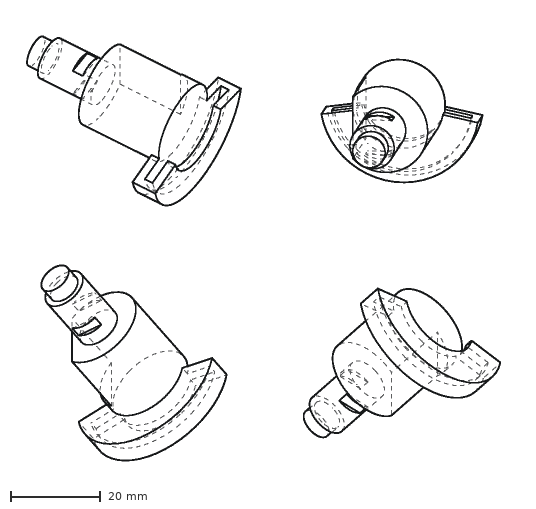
import cadquery as cq
import math

tip_radius = 3.65
tip_length = 4.4
dome_height = 0.7
shaft_radius = 5.0
shaft_length = 14.0
body_radius = 10.0
overall_length = 43.6

notch_width = 2.6
notch_to_body = 3.4
notch_floor = 4.0

body_flat_offset = 7.0
shoulder_length = 5.2

plate_thickness = 2.0
sector_radius = 18.0
groove_radius = 16.0
lip_inner_radius = 9.5
edge_drop = math.radians(10)

shaft_start = tip_length
body_start = shaft_start + shaft_length
lip_start = overall_length - plate_thickness
body_end = lip_start - plate_thickness
plate_start = body_end - plate_thickness


def cylinder(start, end, radius):
    return cq.Workplane("YZ", origin=(start, 0, 0)).circle(radius).extrude(end - start)


def sector_point(radius, side):
    """Point (Y, Z) on the sloping sector edge at the given side."""
    return side * radius * math.cos(edge_drop), -radius * math.sin(edge_drop)


def sector(start, end, inner_radius):
    """Downward annular sector between two X positions."""
    return (
        cq.Workplane("YZ", origin=(start, 0, 0))
        .moveTo(*sector_point(inner_radius, 1))
        .lineTo(*sector_point(sector_radius, 1))
        .threePointArc((0, -sector_radius), sector_point(sector_radius, -1))
        .lineTo(*sector_point(inner_radius, -1))
        .threePointArc((0, -inner_radius), sector_point(inner_radius, 1))
        .close()
        .extrude(end - start)
    )


def domed_tip():
    dome_radius = (tip_radius**2 + dome_height**2) / (2 * dome_height)
    mid_y = tip_radius / 2
    mid_x = dome_radius - math.sqrt(dome_radius**2 - mid_y**2)
    return (
        cq.Workplane("XY")
        .threePointArc((mid_x, mid_y), (dome_height, tip_radius))
        .lineTo(tip_length, tip_radius)
        .lineTo(tip_length, 0)
        .close()
        .revolve(360, (0, 0, 0), (1, 0, 0))
    )


def notched_shaft():
    shaft = cylinder(shaft_start, body_start, shaft_radius)
    notch_center = body_start - notch_to_body - notch_width / 2
    for side in (1, -1):
        cutter = cq.Workplane("XY").box(notch_width, 2 * shaft_radius, shaft_radius)
        cutter_z = side * (notch_floor + shaft_radius / 2)
        shaft = shaft.cut(cutter.translate((notch_center, 0, cutter_z)))
    return shaft


def flatted_body():
    flat_length = body_end - shoulder_length - body_start
    cutter = cq.Workplane("XY").box(
        flat_length, body_radius, 2 * body_radius, centered=(False, False, True)
    )
    body = cylinder(body_start, body_end, body_radius)
    return body.cut(cutter.translate((body_start, body_flat_offset, 0)))


def slotted_sector():
    front_plate = sector(plate_start, body_end, lip_inner_radius)
    rim = sector(body_end, lip_start, groove_radius)
    back_lip = sector(lip_start, overall_length, lip_inner_radius)
    return front_plate.union(rim).union(back_lip)


result = domed_tip().union(notched_shaft()).union(flatted_body()).union(slotted_sector())